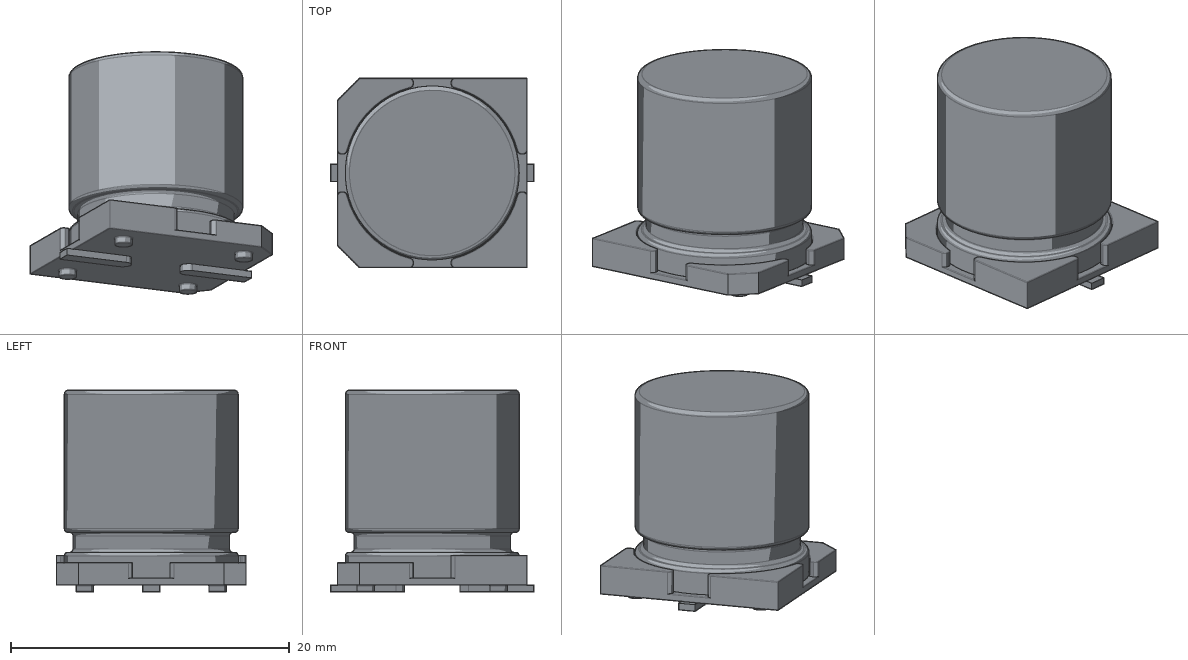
import cadquery as cq

total_height = 14.5
standoff = 0.5
seat_height = 1.0
low_corner_top = 2.1
high_corner_top = 2.63

base_width = 13.6
corner_cut = 1.58
pocket_diameter = 12.65
notch_width = 2.72
block_edge_radius = 0.29
base_edge_radius = 0.05

can_diameter = 12.5
can_top_radius = 0.3
groove_diameter = 11.25
groove_bottom = 2.85
groove_top = 4.28
lip_radius = 0.26
root_radius = 0.25

lead_span = 14.6
lead_width = 1.25
lead_gap = 3.97
foot_diameter = 1.25
foot_spacing = 9.52
foot_edge_radius = 0.06

half_base = base_width / 2
edge_margin = 0.01


def box(length, width, bottom, top):
    """Box centred on the Z axis between two heights."""
    return cq.Workplane("XY", origin=(0, 0, bottom)).rect(length, width).extrude(top - bottom)


def at_height(height):
    """Selector for what lies flat at one height."""
    return cq.selectors.BoxSelector(
        (-base_width, -base_width, height - edge_margin), (base_width, base_width, height + edge_margin)
    )


def make_base_block(top):
    """Base outline from the underside up: a square with the two -X corners cut, the two +X ones eased."""
    block = box(base_width, base_width, standoff, top)
    block = block.edges("|Z and <X").chamfer(corner_cut)
    return block.edges("|Z and >X").fillet(base_edge_radius)


def make_corner_blocks():
    """Four upright blocks left standing around the can pocket, higher on the +X side."""
    blocks = make_base_block(high_corner_top)
    low_side = box(base_width, base_width, low_corner_top, high_corner_top).translate((-half_base, 0, 0))
    pocket = cq.Workplane("XY").circle(pocket_diameter / 2).extrude(total_height)
    notch_along_x = box(base_width, notch_width, 0, total_height)
    notch_along_y = box(notch_width, base_width, 0, total_height)
    blocks = blocks.cut(low_side).cut(pocket).cut(notch_along_x).cut(notch_along_y)

    reach = notch_width / 2 + edge_margin
    beside_x_notch = cq.selectors.BoxSelector((-base_width, -reach, 0), (base_width, reach, total_height))
    beside_y_notch = cq.selectors.BoxSelector((-reach, -base_width, 0), (reach, base_width, total_height))
    blocks = blocks.edges("|Z").edges(beside_x_notch + beside_y_notch).fillet(block_edge_radius)

    for top in (low_corner_top, high_corner_top):
        blocks = blocks.faces(at_height(top)).edges().fillet(base_edge_radius)
    return blocks


def make_base():
    plinth = make_base_block(seat_height).faces(">Z").edges().fillet(base_edge_radius)
    base = plinth.union(make_corner_blocks())
    return base.faces("<Z").edges().fillet(base_edge_radius)


def make_can():
    """Turned can with a rolled groove just above the base."""
    can_radius = can_diameter / 2
    groove_floor = groove_diameter / 2
    root_start = groove_floor + root_radius
    lip_end = can_radius - lip_radius
    profile = (
        cq.Workplane("XZ")
        .moveTo(0, seat_height)
        .lineTo(can_radius, seat_height)
        .lineTo(can_radius, groove_bottom - lip_radius)
        .radiusArc((lip_end, groove_bottom), -lip_radius)
        .lineTo(root_start, groove_bottom)
        .radiusArc((groove_floor, groove_bottom + root_radius), root_radius)
        .lineTo(groove_floor, groove_top - root_radius)
        .radiusArc((root_start, groove_top), root_radius)
        .lineTo(lip_end, groove_top)
        .radiusArc((can_radius, groove_top + lip_radius), -lip_radius)
        .lineTo(can_radius, total_height - can_top_radius)
        .radiusArc((can_radius - can_top_radius, total_height), -can_top_radius)
        .lineTo(0, total_height)
        .close()
    )
    return profile.revolve(360, (0, 0, 0), (0, 1, 0))


def add_feet(base):
    """Four round feet under the base, blended into its underside."""
    feet = (
        cq.Workplane("XY")
        .rect(foot_spacing, foot_spacing, forConstruction=True)
        .vertices()
        .circle(foot_diameter / 2)
        .extrude(standoff)
    )
    feet = feet.faces("<Z").edges().fillet(foot_edge_radius)
    footed = base.union(feet)
    return footed.edges(at_height(standoff)).edges("%CIRCLE").fillet(foot_edge_radius)


def make_lead(side):
    """Flat lead with a rounded inner end, on one X side (-1 or +1)."""
    round_centre = (lead_gap + lead_width) / 2
    bar_length = lead_span / 2 - round_centre
    bar = cq.Workplane("XY").center(side * (round_centre + bar_length / 2), 0).rect(bar_length, lead_width)
    inner_end = cq.Workplane("XY").center(side * round_centre, 0).circle(lead_width / 2)
    return bar.extrude(standoff).union(inner_end.extrude(standoff))


result = add_feet(make_base()).union(make_can())
for side in (-1, 1):
    result = result.union(make_lead(side))